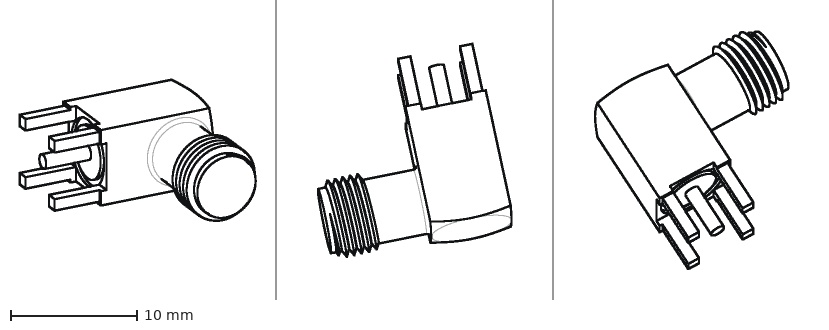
import cadquery as cq
import math

body_side = 6.5
body_length = 10.0
back_bevel_angle = 15.0
standoff_side = 1.25
standoff_height = 0.5

leg_side = 1.0
leg_length = 4.0
leg_inset = 0.25
pin_diameter = 1.2
pin_length = 4.0

groove_outer_diameter = 5.65
groove_inner_diameter = 4.45
groove_depth = 0.29

overall_length = 14.5
barrel_diameter = 5.2
barrel_to_back = 2.97
neck_fillet = 0.3
thread_diameter = 6.24
thread_pitch = 0.605
thread_base_width = 0.57
thread_start = 10.93
full_turns = 4.75
runout_turns = 0.5
runout_end_scale = 0.05
thread_embed = 0.05
points_per_turn = 16

half_side = body_side / 2
barrel_y = body_length - barrel_to_back
barrel_end = overall_length - half_side
barrel_radius = barrel_diameter / 2


def front_plane(y):
    """Sketch plane normal to Y whose extrusions run toward -Y."""
    return cq.Workplane("XZ", origin=(0, y, 0))


def make_body():
    body = front_plane(body_length).rect(body_side, body_side).extrude(body_length - standoff_height)
    corner_radius = half_side * math.sqrt(2)
    bevel_drop = (corner_radius - half_side) * math.tan(math.radians(back_bevel_angle))
    envelope = (
        cq.Workplane("XY")
        .moveTo(0, 0)
        .lineTo(corner_radius, 0)
        .lineTo(corner_radius, body_length - bevel_drop)
        .lineTo(half_side, body_length)
        .lineTo(0, body_length)
        .close()
        .revolve(360, (0, 0, 0), (0, 1, 0))
    )
    return body.intersect(envelope)


def corner_posts(side, inset, y, length):
    """Four square posts, one per body corner, running from y toward -Y."""
    spacing = body_side - 2 * inset - side
    return front_plane(y).rect(spacing, spacing, forConstruction=True).vertices().rect(side, side).extrude(length)


def make_groove():
    return (
        front_plane(standoff_height + groove_depth)
        .circle(groove_outer_diameter / 2)
        .circle(groove_inner_diameter / 2)
        .extrude(groove_depth)
    )


def make_barrel():
    arc_offset = neck_fillet * (1 - math.sqrt(0.5))
    return (
        cq.Workplane("XY", origin=(0, barrel_y, 0))
        .moveTo(half_side, 0)
        .lineTo(half_side, barrel_radius + neck_fillet)
        .threePointArc(
            (half_side + arc_offset, barrel_radius + arc_offset),
            (half_side + neck_fillet, barrel_radius),
        )
        .lineTo(barrel_end, barrel_radius)
        .lineTo(barrel_end, 0)
        .close()
        .revolve(360, (0, 0, 0), (1, 0, 0))
    )


def make_thread_ridge(first_turn, last_turn, end_scale):
    """Right-handed triangular ridge whose section scales from 1 to end_scale."""
    root_radius = barrel_radius - thread_embed
    crest_height = thread_diameter / 2 - barrel_radius
    root_half_width = thread_base_width / 2 * (1 + thread_embed / crest_height)
    steps = math.ceil((last_turn - first_turn) * points_per_turn)

    def helix(side, height):
        points = []
        for i in range(steps + 1):
            turn = first_turn + (last_turn - first_turn) * i / steps
            scale = 1 + (end_scale - 1) * i / steps
            angle = 2 * math.pi * turn
            radius = root_radius + height * scale
            x = thread_start + turn * thread_pitch - half_side + side * root_half_width * scale
            points.append(cq.Vector(x, barrel_y + radius * math.cos(angle), radius * math.sin(angle)))
        return cq.Edge.makeSpline(points)

    left = helix(-1, 0)
    crest = helix(0, crest_height + thread_embed)
    right = helix(1, 0)
    edges = [left, crest, right]
    faces = [cq.Face.makeRuledSurface(edges[i - 1], edges[i]) for i in range(3)]
    for corners in ([e.startPoint() for e in edges], [e.endPoint() for e in edges]):
        faces.append(cq.Face.makeFromWires(cq.Wire.makePolygon(corners, close=True)))
    return cq.Workplane(cq.Solid.makeSolid(cq.Shell.makeShell(faces)))


body = make_body().cut(make_groove())
standoffs = corner_posts(standoff_side, 0, standoff_height, standoff_height)
legs = corner_posts(leg_side, leg_inset, 0, leg_length)
pin = front_plane(standoff_height).circle(pin_diameter / 2).extrude(pin_length)
thread = make_thread_ridge(0, full_turns, 1)
runout = make_thread_ridge(full_turns, full_turns + runout_turns, runout_end_scale)
barrel = make_barrel().union(thread).union(runout)

result = body.union(standoffs).union(legs).union(pin).union(barrel)